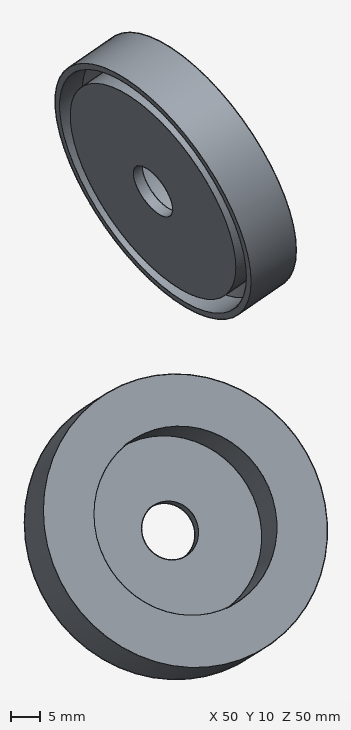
import cadquery as cq

outer_diameter = 50.0
thickness = 10.0
bore_diameter = 10.0
groove_outer_diameter = 47.6
hub_diameter = 42.2
groove_straight_depth = 5.0
web_thickness = 2.0
hub_wall = 5.0

outer_radius = outer_diameter / 2
bore_radius = bore_diameter / 2
groove_outer_radius = groove_outer_diameter / 2
hub_radius = hub_diameter / 2
cavity_radius = hub_radius - hub_wall
groove_taper_depth = groove_outer_radius - hub_radius

front_y = -thickness / 2
back_y = thickness / 2
taper_start_y = front_y + groove_straight_depth
groove_bottom_y = taper_start_y + groove_taper_depth
cavity_floor_y = front_y + web_thickness

section = (
    cq.Workplane("XY")
    .moveTo(bore_radius, front_y)
    .lineTo(hub_radius, front_y)
    .lineTo(hub_radius, groove_bottom_y)
    .lineTo(groove_outer_radius, taper_start_y)
    .lineTo(groove_outer_radius, front_y)
    .lineTo(outer_radius, front_y)
    .lineTo(outer_radius, back_y)
    .lineTo(cavity_radius, back_y)
    .lineTo(cavity_radius, cavity_floor_y)
    .lineTo(bore_radius, cavity_floor_y)
    .close()
)

result = section.revolve(360, (0, 0, 0), (0, 1, 0))